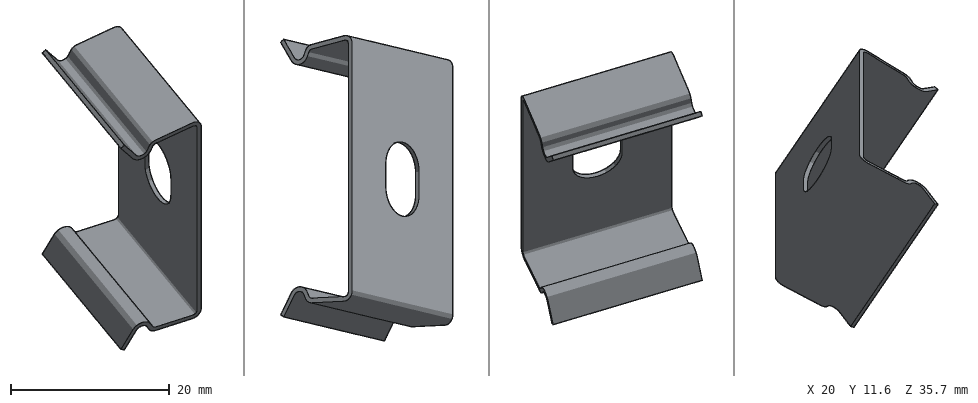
import cadquery as cq
import math

width = 20.0
depth = 11.65
height = 35.67
sheet = 0.6

tight_radius = 0.6
throat_radius = 0.93
arm_direction = -5.0
drop_direction = -65.0
lip_direction = 56.3

back_half_length = 15.85
arm_length = 5.3
drop_length = 0.55

slot_width = 6.6
slot_length = 9.5


def offset_point(point, direction, distance):
    """Point moved along a direction, as (distance in front of the back face, height)."""
    angle = math.radians(direction)
    return (point[0] + distance * math.cos(angle), point[1] + distance * math.sin(angle))


def straight(solid, start, direction, length):
    """Add a flat strip to the right of the travel line; return the solid and the line's end."""
    end = offset_point(start, direction, length)
    right = direction - 90
    points = [start, end, offset_point(end, right, sheet), offset_point(start, right, sheet)]
    strip = extrude_profile(profile_plane().polyline(points).close())
    return (strip if solid is None else solid.union(strip)), end


def bend(solid, start, direction, new_direction, inside_radius):
    """Add a curved strip turning to the new direction; return the solid and the line's end."""
    turns_right = new_direction < direction
    to_center = direction - 90 if turns_right else direction + 90
    line_radius = inside_radius + sheet if turns_right else inside_radius
    far_radius = inside_radius if turns_right else inside_radius + sheet
    center = offset_point(start, to_center, line_radius)
    first = to_center + 180
    last = first + new_direction - direction
    middle = (first + last) / 2
    end = offset_point(center, last, line_radius)
    profile = (
        profile_plane()
        .moveTo(*start)
        .threePointArc(offset_point(center, middle, line_radius), end)
        .lineTo(*offset_point(center, last, far_radius))
        .threePointArc(offset_point(center, middle, far_radius), offset_point(center, first, far_radius))
        .close()
    )
    return solid.union(extrude_profile(profile)), end


def profile_plane():
    """Side plane with its first axis along -Y from the back face and its second along Z."""
    return cq.Workplane(cq.Plane(origin=(0, depth / 2, 0), xDir=(0, -1, 0), normal=(-1, 0, 0)))


def extrude_profile(profile):
    return profile.extrude(width / 2, both=True)


def make_upper_half():
    """Half of the back, followed by the sprung arm, its throat and the flared lip."""
    half, point = straight(None, (0, 0), 90, back_half_length)
    half, point = bend(half, point, 90, arm_direction, tight_radius)
    half, point = straight(half, point, arm_direction, arm_length)
    half, point = bend(half, point, arm_direction, drop_direction, tight_radius)
    half, point = straight(half, point, drop_direction, drop_length)
    half, point = bend(half, point, drop_direction, lip_direction, throat_radius)
    lip_length = (height / 2 - point[1]) / math.sin(math.radians(lip_direction))
    half, _ = straight(half, point, lip_direction, lip_length)
    return half


def make_slot():
    return (
        cq.Workplane("XZ", origin=(0, depth / 2, 0))
        .slot2D(slot_length, slot_width, 90)
        .extrude(2 * sheet, both=True)
    )


upper_half = make_upper_half()
lower_half = upper_half.mirror("XY")
result = upper_half.union(lower_half).cut(make_slot()).clean()